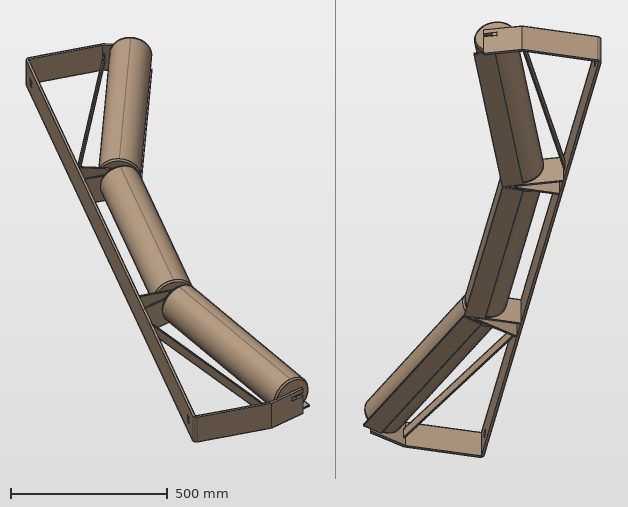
import cadquery as cq
import math

frame_length = 1890.0
frame_height = 102.0
strip = 8.5
corner_radius = 13.0
arm_depth = 259.0
outer_support_end = 376.0
trough_angle = 20.0
wing_tilt = 1.1

bolt_hole_width = 17.0
bolt_hole_height = 23.0
bolt_hole_inset = 62.0
bolt_hole_z = 50.0

roller_diameter = 135.0
roller_radius = roller_diameter / 2
roller_length = 610.0
rim_length = 8.0
rim_depth = 4.0
center_roller_y = 125.0
center_roller_z = roller_radius
wing_inner_x = 330.0
wing_inner_y = 130.0

plate_thickness = 5.0
plate_drop = 4.0

tongue_height = 13.0
tongue_width = 17.0
tongue_inner = 5.0
tongue_outer = 11.0
slot_overrun = 11.0
slot_reach = 95.0

bracket_strip = 5.0
bracket_gap = 2.0
bracket_top = 153.0

brace_thickness = 4.7
brace_height = 35.0
brace_z = 32.0
brace_foot_x = 385.0
brace_head_y = 263.0

half_length = frame_length / 2
swing = math.radians(trough_angle)


def place_center(shape):
    return shape.translate((0, center_roller_y, center_roller_z))


def place_left_wing(shape):
    """Put the +X end of a roller at the inner end of the left wing, then tilt and swing it."""
    return (
        shape.translate((-roller_length / 2, 0, 0))
        .rotate((0, 0, 0), (0, 1, 0), wing_tilt)
        .rotate((0, 0, 0), (0, 0, 1), -trough_angle)
        .translate((-wing_inner_x, wing_inner_y, center_roller_z))
    )


def mirrored(shape):
    return shape.mirror("YZ")


def roller(left_tongue, right_tongue):
    """A drum with bevelled rims, a flat shaft tongue at each end and a plate under its rear half."""
    half = roller_length / 2
    drum = (
        cq.Workplane("XZ")
        .moveTo(-half, 0)
        .lineTo(-half, roller_radius - rim_depth)
        .lineTo(-half + rim_length, roller_radius)
        .lineTo(half - rim_length, roller_radius)
        .lineTo(half, roller_radius - rim_depth)
        .lineTo(half, 0)
        .close()
        .revolve(360, (0, 0, 0), (1, 0, 0))
    )
    shaft = (
        cq.Workplane("XY")
        .box(roller_length + left_tongue + right_tongue, tongue_width, tongue_height)
        .translate(((right_tongue - left_tongue) / 2, 0, 0))
    )
    under_plate = (
        cq.Workplane("XY", origin=(0, 0, -roller_radius - plate_drop))
        .rect(roller_length, roller_radius)
        .extrude(plate_thickness)
        .translate((0, roller_radius / 2, 0))
    )
    return drum.union(shaft).union(under_plate)


def tongue_slots():
    """Slots for both tongues of a roller, open toward the back."""
    depth = slot_reach + tongue_width / 2
    return (
        cq.Workplane("XY")
        .box(roller_length + 2 * slot_overrun, depth, tongue_height)
        .translate((0, slot_reach / 2 - tongue_width / 4, 0))
    )


center_roller = place_center(roller(bracket_strip, bracket_strip))
left_wing_roller = place_left_wing(roller(tongue_outer, tongue_inner))
wing_slots = place_left_wing(tongue_slots())
center_slots = place_center(tongue_slots())


def left_half_frame():
    along = (math.sin(swing), math.cos(swing))
    inward = (math.cos(swing), -math.sin(swing))
    reach = (outer_support_end - arm_depth) / math.cos(swing)

    def on_support(distance, offset):
        """Point at a distance along the support from its bend, offset inward from its outer face."""
        return (
            -half_length + distance * along[0] + offset * inward[0],
            arm_depth + distance * along[1] + offset * inward[1],
        )

    inner_bend = -strip * math.tan(swing / 2)
    bent_strip = (
        cq.Workplane("XY")
        .moveTo(0, 0)
        .lineTo(-half_length, 0)
        .lineTo(-half_length, arm_depth)
        .lineTo(*on_support(reach, 0))
        .lineTo(*on_support(reach, strip))
        .lineTo(*on_support(inner_bend, strip))
        .lineTo(-half_length + strip, strip)
        .lineTo(0, strip)
        .close()
        .extrude(frame_height)
        .edges(cq.selectors.NearestToPointSelector((-half_length, 0, frame_height / 2)))
        .fillet(corner_radius)
    )
    bolt_hole = (
        cq.Workplane("XY")
        .box(bolt_hole_width, 4 * strip, bolt_hole_height)
        .translate((bolt_hole_inset - half_length, 0, bolt_hole_z))
    )
    return bent_strip.cut(wing_slots).cut(bolt_hole)


left_half = left_half_frame()
frame = left_half.union(mirrored(left_half))


def left_bracket():
    center_face = -roller_length / 2
    slope = math.tan(swing)
    across = bracket_strip / math.cos(swing)
    wing_face = -wing_inner_x - wing_inner_y * slope + bracket_gap

    def wing_leg(offset, y):
        return (wing_face + offset + y * slope, y)

    inside_top = bracket_top - bracket_strip
    return (
        cq.Workplane("XY")
        .polyline([
            (center_face, strip),
            (center_face, bracket_top),
            wing_leg(0, bracket_top),
            wing_leg(0, strip),
            wing_leg(across, strip),
            wing_leg(across, inside_top),
            (center_face - bracket_strip, inside_top),
            (center_face - bracket_strip, strip),
        ])
        .close()
        .extrude(frame_height)
        .cut(wing_slots)
        .cut(center_slots)
    )


def left_brace():
    foot = (-brace_foot_x, strip)
    head = (-half_length + strip, brace_head_y)
    angle = math.atan2(head[1] - foot[1], foot[0] - head[0])
    along_bar = brace_thickness / math.sin(angle)
    upright = brace_thickness / math.cos(angle)
    return (
        cq.Workplane("XY", origin=(0, 0, brace_z))
        .polyline([
            foot,
            head,
            (head[0], head[1] - upright),
            (foot[0] - along_bar, foot[1]),
        ])
        .close()
        .extrude(brace_height)
        .cut(frame)
    )


left_bodies = [left_wing_roller, left_bracket(), left_brace()]
paired_bodies = left_bodies + [mirrored(body) for body in left_bodies]

result = cq.Compound.makeCompound(
    [frame.val(), center_roller.val()] + [body.val() for body in paired_bodies]
)